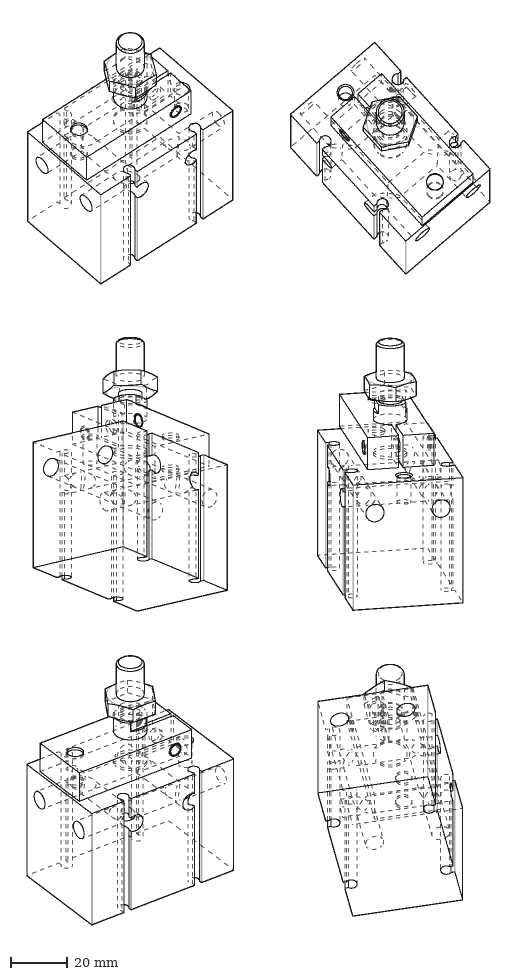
import cadquery as cq
import math

housing_width = 40.0
housing_depth = 62.0
housing_height = 47.0
housing_edge_round = 0.2

cross_hole_diameter = 6.6
cross_hole_offset = 12.0
cross_hole_drop = 11.0
cross_hole_height = housing_height - cross_hole_drop

slot_channel_diameter = 4.1
slot_mouth_width = 2.9
slot_channel_inset = 2.8
slot_offset = 15.4

guide_offset = 24.0
guide_diameter = 6.0
top_hole_diameter = 4.9
top_hole_mouth_diameter = guide_diameter
top_hole_depth = 10.0

plate_gap = 1.0
plate_width = 24.0
plate_depth = 49.0
plate_height = 12.0
plate_front = -30.8
plate_back = plate_front + plate_depth
plate_bottom = housing_height + plate_gap
plate_top = plate_bottom + plate_height
clamp_slit_width = 1.5
guide_recess_depth = 1.0

screw_diameter = 5.0
screw_tip_diameter = 4.1
screw_offset = 11.1
screw_height = plate_top - plate_height / 2

total_height = 89.0
rod_diameter = 12.0
rod_flats_width = 10.0
rod_flats_height = 3.5
rod_exposed_height = 7.0
rod_shoulder = plate_top + rod_exposed_height
neck_diameter = 8.45
neck_height = 2.5
stud_diameter = 10.0
stud_chamfer = (stud_diameter - neck_diameter) / 2

nut_flats_width = 17.0
nut_face_diameter = 16.8
nut_height = 6.0
nut_bottom = rod_shoulder + neck_height
nut_top = nut_bottom + nut_height
nut_chamfer_angle = 15
nut_sides = 6
nut_half_side_angle = 180 / nut_sides


def cylinder(diameter, bottom, top, x=0, y=0):
    """Upright cylinder between two heights."""
    return cq.Workplane("XY", origin=(x, y, bottom)).circle(diameter / 2).extrude(top - bottom)


def sensor_slot(side, y):
    """Keyhole channel along the full height of one side (side is -1 or 1)."""
    channel_x = side * (housing_width / 2 - slot_channel_inset)
    channel = cylinder(slot_channel_diameter, 0, housing_height, channel_x, y)
    mouth = (
        cq.Workplane("XY", origin=(channel_x + side * slot_channel_inset / 2, y, 0))
        .rect(slot_channel_inset, slot_mouth_width)
        .extrude(housing_height)
    )
    return channel.union(mouth)


def top_hole():
    """Blind hole from the top face with a 45 degree chamfer at its mouth."""
    radius = top_hole_diameter / 2
    mouth_radius = top_hole_mouth_diameter / 2
    chamfer = mouth_radius - radius
    profile = (
        cq.Workplane("XZ", origin=(0, guide_offset, housing_height))
        .polyline([(0, 0), (mouth_radius, 0), (radius, -chamfer), (radius, -top_hole_depth), (0, -top_hole_depth)])
        .close()
    )
    return profile.revolve(360, (0, 0, 0), (0, 1, 0))


def make_housing():
    """Slotted block with its vertical outer edges slightly rounded."""
    body = cq.Workplane("XY").box(housing_width, housing_depth, housing_height, centered=(True, True, False))
    for side in (-1, 1):
        for y in (-slot_offset, slot_offset):
            body = body.cut(sensor_slot(side, y))
    for side in ("<X", ">X"):
        body = body.edges(f"|Z and {side}").fillet(housing_edge_round)
    hole_points = [(-cross_hole_offset, cross_hole_height), (cross_hole_offset, cross_hole_height)]
    for plane, length in (("XZ", housing_depth), ("YZ", housing_width)):
        holes = cq.Workplane(plane).pushPoints(hole_points).circle(cross_hole_diameter / 2)
        body = body.cut(holes.extrude(length / 2, both=True))
    return body.cut(top_hole())


def screw_hole():
    """Hole for the clamp screw, across the whole width of the plate."""
    return (
        cq.Workplane("YZ", origin=(-plate_width / 2, screw_offset, screw_height))
        .circle(screw_diameter / 2)
        .extrude(plate_width)
    )


def clamp_screw():
    """Screw that fills its hole, with both ends chamfered and flush with the plate sides."""
    tip_chamfer = (screw_diameter - screw_tip_diameter) / 2
    return screw_hole().faces("<X or >X").chamfer(tip_chamfer)


def make_plate():
    """Clamp plate, slit from the back to the rod and tightened by the screw."""
    plate = (
        cq.Workplane("XY", origin=(0, (plate_front + plate_back) / 2, plate_bottom))
        .box(plate_width, plate_depth, plate_height, centered=(True, True, False))
    )
    slit = (
        cq.Workplane("XY", origin=(0, plate_back / 2, plate_bottom))
        .rect(clamp_slit_width, plate_back)
        .extrude(plate_height)
    )
    recess = cylinder(guide_diameter, plate_top - guide_recess_depth, plate_top, 0, -guide_offset)
    return plate.cut(slit).cut(recess).cut(screw_hole()).union(clamp_screw())


def make_nut():
    """Hexagon nut with two flats facing +X and -X and its corners chamfered top and bottom."""
    corner_diameter = nut_flats_width / math.cos(math.radians(nut_half_side_angle))
    nut = (
        cq.Workplane("XY", origin=(0, 0, nut_bottom))
        .polygon(nut_sides, corner_diameter)
        .extrude(nut_height)
        .rotate((0, 0, 0), (0, 0, 1), nut_half_side_angle)
    )
    corner_drop = (corner_diameter - nut_face_diameter) / 2 * math.tan(math.radians(nut_chamfer_angle))
    envelope = (
        cq.Workplane("XZ")
        .moveTo(0, nut_bottom)
        .lineTo(nut_face_diameter / 2, nut_bottom)
        .lineTo(corner_diameter / 2, nut_bottom + corner_drop)
        .lineTo(corner_diameter / 2, nut_top - corner_drop)
        .lineTo(nut_face_diameter / 2, nut_top)
        .lineTo(0, nut_top)
        .close()
        .revolve(360, (0, 0, 0), (0, 1, 0))
    )
    return nut.intersect(envelope)


def make_rod():
    """Rod standing on the housing, with wrench flats, a neck and a threaded end."""
    rod = cylinder(rod_diameter, housing_height, rod_shoulder)
    flats_bottom = rod_shoulder - rod_flats_height
    flats = (
        cq.Workplane("XY", origin=(0, 0, flats_bottom))
        .rect(rod_flats_width, rod_diameter)
        .extrude(rod_flats_height)
    )
    rod = rod.cut(cylinder(rod_diameter, flats_bottom, rod_shoulder).cut(flats))
    neck = cylinder(neck_diameter, rod_shoulder, nut_bottom)
    stud = cylinder(stud_diameter, nut_bottom, total_height).faces(">Z").chamfer(stud_chamfer)
    return rod.union(neck).union(stud)


def make_slide():
    """Piston rod with nut, plate and guide rod, which move as one piece."""
    guide = cylinder(guide_diameter, housing_height, plate_bottom, 0, -guide_offset)
    return make_plate().union(guide).union(make_rod()).union(make_nut())


housing = make_housing().solids()
slide = make_slide().solids()
result = cq.Compound.makeCompound([housing.val(), slide.val()])